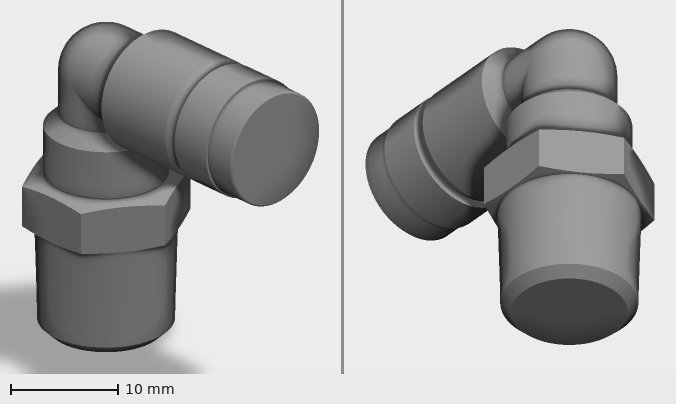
import cadquery as cq
import math

elbow_height = 26.7
neck_radius = 4.5
body_radius = 5.9
shoulder_start = 4.37
shoulder_end = 5.7

body_end = 14.4
groove_start = 15.3
groove_end = 15.7
collar_end = 20.05
arm_end = 23.25
body_tip_radius = 5.4
groove_radius = 4.8
sleeve_radius = 5.67
sleeve_chamfer = 0.13

hex_across_flats = 14.0
hex_bottom = 11.0
hex_top = 16.05
hex_chamfer_angle = 15.0
gap_height = 0.15
gap_radius = 5.77

thread_top_radius = 6.75
thread_bottom_radius = 6.45
thread_tip_radius = 5.45
thread_chamfer_height = 0.98

hex_corner_radius = hex_across_flats / math.sqrt(3)


def make_horizontal_arm():
    """Revolve the stepped arm about its axis, with X measured from the elbow centre."""
    profile = [
        (0, 0),
        (0, neck_radius),
        (shoulder_start, neck_radius),
        (shoulder_end, body_radius),
        (body_end, body_radius),
        (groove_start, body_tip_radius),
        (groove_start, groove_radius),
        (groove_end, groove_radius),
        (groove_end, body_radius),
        (collar_end, body_radius),
        (collar_end, sleeve_radius),
        (arm_end - sleeve_chamfer, sleeve_radius),
        (arm_end, sleeve_radius - sleeve_chamfer),
        (arm_end, 0),
    ]
    arm = cq.Workplane("XZ").polyline(profile).close().revolve(360, (0, 0), (1, 0))
    return arm.translate((0, 0, elbow_height))


def make_vertical_arm():
    """Revolve the thread, the core inside the nut and the vertical body about Z."""
    body_bottom = hex_top + gap_height
    profile = [
        (0, 0),
        (thread_tip_radius, 0),
        (thread_bottom_radius, thread_chamfer_height),
        (thread_top_radius, hex_bottom),
        (gap_radius, hex_bottom),
        (gap_radius, body_bottom),
        (body_radius, body_bottom),
        (body_radius, elbow_height - shoulder_end),
        (neck_radius, elbow_height - shoulder_start),
        (neck_radius, elbow_height),
        (0, elbow_height),
    ]
    return cq.Workplane("XZ").polyline(profile).close().revolve(360, (0, 0), (0, 1))


def make_nut():
    """Trim a hexagonal prism with a round blank so that both ends are chamfered."""
    slope = math.tan(math.radians(hex_chamfer_angle))
    top_drop = (hex_corner_radius - body_radius) * slope
    bottom_rise = (hex_corner_radius - thread_top_radius) * slope
    blank_profile = [
        (0, hex_bottom),
        (thread_top_radius, hex_bottom),
        (hex_corner_radius, hex_bottom + bottom_rise),
        (hex_corner_radius, hex_top - top_drop),
        (body_radius, hex_top),
        (0, hex_top),
    ]
    blank = cq.Workplane("XZ").polyline(blank_profile).close().revolve(360, (0, 0), (0, 1))
    prism = (
        cq.Workplane("XY")
        .workplane(offset=hex_bottom)
        .polygon(6, 2 * hex_corner_radius)
        .extrude(hex_top - hex_bottom)
    )
    return prism.intersect(blank)


elbow_ball = cq.Workplane("XY").sphere(neck_radius).translate((0, 0, elbow_height))

result = make_vertical_arm().union(make_nut()).union(make_horizontal_arm()).union(elbow_ball)